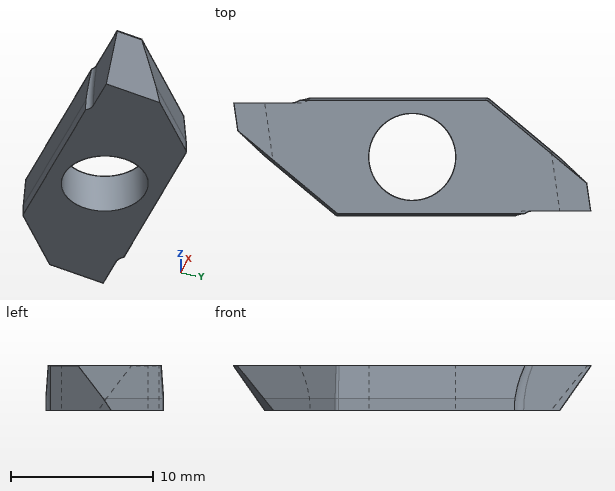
import cadquery as cq
import math

length = 25.13
width = 8.3
thickness = 3.18
hole_diameter = 6.11

band_height = 0.84
draft_angle = 4.0
diagonal_angle = 39.8
corner_x = 5.33
corner_radius = 0.35

end_skew_angle = 8.2
end_relief_angle = 34.7
end_land_height = 0.06

flat_y = 3.81
flat_start_x = 7.84
wheel_flat_radius = 8.3
wheel_corner_radius = 0.8

tip_x = length / 2
half_width = width / 2
cutter_size = 2 * width


def half_turned(shape):
    return shape.rotate((0, 0, 0), (0, 0, 1), 180)


def body_outline(inset=0.0):
    """Parallelogram with rounded obtuse corners, all sides moved inward by inset."""
    half_acute = math.radians(diagonal_angle / 2)
    diagonal_run = width / math.tan(math.radians(diagonal_angle))
    obtuse_x = corner_x - inset * math.tan(half_acute)
    acute_x = corner_x + diagonal_run - inset / math.tan(half_acute)
    side_y = half_width - inset
    corners = [
        (-obtuse_x, -side_y),
        (acute_x, -side_y),
        (obtuse_x, side_y),
        (-acute_x, side_y),
        (-obtuse_x, -side_y),
    ]
    reach_x = corner_x + diagonal_run / 2
    obtuse_corners = cq.selectors.BoxSelector((-reach_x, -width, -width), (reach_x, width, width))
    return cq.Sketch().polygon(corners).vertices(obtuse_corners).fillet(corner_radius)


def make_body():
    band = cq.Workplane("XY").placeSketch(body_outline()).extrude(band_height)
    flank_height = thickness - band_height
    top_inset = flank_height * math.tan(math.radians(draft_angle))
    top_outline = body_outline(top_inset).moved(cq.Location(cq.Vector(0, 0, flank_height)))
    flank = (
        cq.Workplane("XY", origin=(0, 0, band_height))
        .placeSketch(body_outline(), top_outline)
        .loft(ruled=True)
    )
    return band.union(flank)


def make_end_cutter():
    skew = math.radians(end_skew_angle)
    end_plane = cq.Plane(
        origin=(tip_x, -flat_y, thickness),
        xDir=(math.cos(skew), math.sin(skew), 0),
        normal=(math.sin(skew), -math.cos(skew), 0),
    )
    relief_run = cutter_size * math.tan(math.radians(end_relief_angle))
    relief_bottom = -end_land_height - cutter_size
    profile = [
        (0, 0),
        (0, -end_land_height),
        (-relief_run, relief_bottom),
        (cutter_size, relief_bottom),
        (cutter_size, 0),
    ]
    return cq.Workplane(end_plane).polyline(profile).close().extrude(cutter_size, both=True)


def make_grinding_wheel():
    wheel_center = (flat_start_x + wheel_flat_radius, -flat_y, 0)
    return (
        cq.Workplane("XZ", origin=wheel_center)
        .circle(wheel_flat_radius + wheel_corner_radius)
        .extrude(width)
        .faces(">Y")
        .edges()
        .fillet(wheel_corner_radius)
    )


result = make_body()
for cutter in (make_end_cutter(), make_grinding_wheel()):
    result = result.cut(cutter).cut(half_turned(cutter))

hole = cq.Workplane("XY").circle(hole_diameter / 2).extrude(thickness)
result = result.cut(hole)